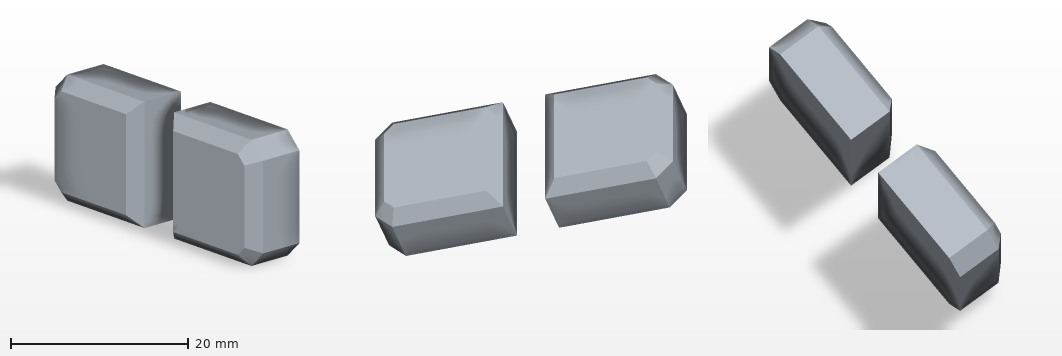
import cadquery as cq

total_length = 35.0
block_height = 15.0
block_depth = 7.0
block_width = block_height
outer_x = total_length / 2
inner_x = outer_x - block_width

corner_cut = 2.0
front_bevel = 1.5


def make_block(side):
    """Block on the -X (side = -1) or +X (side = 1) half, from the back face at Y = 0 to -Y."""
    half_height = block_height / 2
    cut_x = outer_x - corner_cut
    cut_z = half_height - corner_cut
    outline = [
        (side * inner_x, -half_height),
        (side * cut_x, -half_height),
        (side * outer_x, -cut_z),
        (side * outer_x, cut_z),
        (side * cut_x, half_height),
        (side * inner_x, half_height),
    ]
    block = cq.Workplane("XZ").polyline(outline).close().extrude(block_depth)
    return block.faces("<Y").edges().chamfer(front_bevel)


blocks = [make_block(side) for side in (-1, 1)]

result = cq.Compound.makeCompound([block.val() for block in blocks])